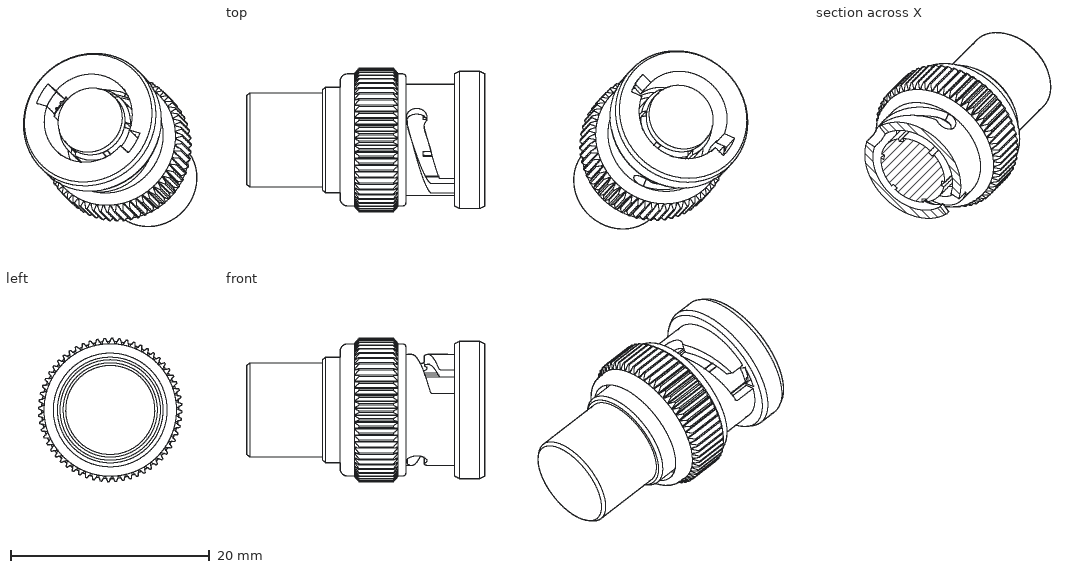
import cadquery as cq
import math

TOTAL_LENGTH = 24.0

PLUG_BODY_RADIUS = 4.75
COLLAR_START = 7.63
COLLAR_RADIUS = 5.33
PLUG_CHAMFER_LENGTH = 0.34
PLUG_CHAMFER_DEPTH = 0.26
TUBE_START = 15.26
TUBE_RADIUS = 3.72
TUBE_TAPER_START = 21.55
TUBE_TAPER_END = 22.27
TUBE_TIP_RADIUS = 3.35
TUBE_END = 23.28

GROOVE_COUNT = 6
GROOVE_START = 17.75
GROOVE_WIDTH = 0.53
GROOVE_DEPTH = 0.34
GROOVE_CORNER = 0.15
FIRST_GROOVE_ANGLE = 22.5

SLEEVE_START = 9.4
GRIP_RADIUS = 6.67
GRIP_END = 16.05
GRIP_REAR_FILLET = 0.77
GRIP_FRONT_FILLET = 0.34
NECK_RADIUS = 5.62
RIM_START = 20.93
RIM_RADIUS = 6.94
RIM_CHAMFER_LENGTH = 0.53
RIM_CHAMFER_DEPTH = 0.26
BORE_RADIUS = 4.6
RECESS_RADIUS = 5.74
RECESS_END = 11.05

KNURL_COUNT = 60
KNURL_START = 10.85
KNURL_END = 15.26
KNURL_DIAMETER = 14.47
KNURL_TIP_RADIUS = KNURL_DIAMETER / 2
KNURL_BEVEL = 0.48
KNURL_TIP_WIDTH = 0.17
KNURL_BASE_WIDTH = 0.62
KNURL_SINK = 0.12
KNURL_PHASE = 1.5

SLOT_COUNT = 2
CHANNEL_PITCH = 9.6
CHANNEL_WIDTH = 1.63
CHANNEL_REAR_AT_TOP = 16.6
CHANNEL_START_ANGLE = -20.0
CHANNEL_OVERRUN_ANGLE = 5.0
LOCK_ANGLE = -24.0
LOCK_X = 17.14
LOCK_RADIUS = 1.03
ENTRY_START_ANGLE = 44.0
ENTRY_END_ANGLE = 72.8
ENTRY_START = 18.95
ENTRY_FILLET = 0.22
RIM_KEYWAY_RADIUS = 5.75
RIM_KEYWAY_INSET_ANGLE = 3.0

LOCK_NECK_X = 17.8
LOCK_NECK_ANGLE = -15.7
LOCK_NECK_FILLET = 0.6

CUT_INNER_RADIUS = 4.2
CUT_OUTER_RADIUS = 6.0


def about_axis(shape, angle):
    """Turn a shape about X, from +Z towards -Y for positive angles."""
    return shape.rotate((0, 0, 0), (1, 0, 0), angle)


def revolve_about_x(profile):
    return profile.close().revolve(360, (0, 0, 0), (1, 0, 0))


def make_tube_groove():
    """Cutter for one groove at +Z, open at the end of the tube."""
    return (
        cq.Workplane("XY", origin=(GROOVE_START, 0, TUBE_RADIUS - GROOVE_DEPTH))
        .box(TUBE_END - GROOVE_START, GROOVE_WIDTH, 2 * GROOVE_DEPTH, centered=(False, True, False))
        .edges("|Z and <X")
        .fillet(GROOVE_CORNER)
    )


def make_plug():
    plug = revolve_about_x(
        cq.Workplane("XZ")
        .moveTo(0, 0)
        .lineTo(0, PLUG_BODY_RADIUS - PLUG_CHAMFER_DEPTH)
        .lineTo(PLUG_CHAMFER_LENGTH, PLUG_BODY_RADIUS)
        .lineTo(COLLAR_START, PLUG_BODY_RADIUS)
        .lineTo(COLLAR_START, COLLAR_RADIUS - PLUG_CHAMFER_DEPTH)
        .lineTo(COLLAR_START + PLUG_CHAMFER_LENGTH, COLLAR_RADIUS)
        .lineTo(RECESS_END, COLLAR_RADIUS)
        .lineTo(RECESS_END, BORE_RADIUS)
        .lineTo(TUBE_START, BORE_RADIUS)
        .lineTo(TUBE_START, TUBE_RADIUS)
        .lineTo(TUBE_TAPER_START, TUBE_RADIUS)
        .lineTo(TUBE_TAPER_END, TUBE_TIP_RADIUS)
        .lineTo(TUBE_END, TUBE_TIP_RADIUS)
        .lineTo(TUBE_END, 0)
    )
    groove = make_tube_groove()
    for i in range(GROOVE_COUNT):
        plug = plug.cut(about_axis(groove, FIRST_GROOVE_ANGLE + i * 360 / GROOVE_COUNT))
    return plug


def make_shell():
    """Turned shape of the sleeve, before knurling and slotting."""
    grip_length = GRIP_END - SLEEVE_START
    grip = cq.Workplane("YZ", origin=(SLEEVE_START, 0, 0)).circle(GRIP_RADIUS).extrude(grip_length)
    grip = grip.faces("<X").edges().fillet(GRIP_REAR_FILLET)
    grip = grip.faces(">X").edges().fillet(GRIP_FRONT_FILLET)
    neck_and_rim = revolve_about_x(
        cq.Workplane("XY")
        .moveTo(RECESS_END, 0)
        .lineTo(RECESS_END, NECK_RADIUS)
        .lineTo(RIM_START, NECK_RADIUS)
        .lineTo(RIM_START, RIM_RADIUS - RIM_CHAMFER_DEPTH)
        .lineTo(RIM_START + RIM_CHAMFER_LENGTH, RIM_RADIUS)
        .lineTo(TOTAL_LENGTH - RIM_CHAMFER_LENGTH, RIM_RADIUS)
        .lineTo(TOTAL_LENGTH, RIM_RADIUS - RIM_CHAMFER_DEPTH)
        .lineTo(TOTAL_LENGTH, 0)
    )
    bore = cq.Workplane("YZ").circle(BORE_RADIUS).extrude(TOTAL_LENGTH)
    recess = cq.Workplane("YZ").circle(RECESS_RADIUS).extrude(RECESS_END)
    return grip.union(neck_and_rim).cut(bore).cut(recess)


def make_knurl_band():
    """Ridges bevelled at both ends, on a ring that lies within the grip wall."""
    root_radius = GRIP_RADIUS - KNURL_SINK
    ridge = (
        cq.Workplane("YZ", origin=(KNURL_START, 0, 0))
        .moveTo(-KNURL_BASE_WIDTH / 2, root_radius)
        .lineTo(-KNURL_BASE_WIDTH / 2, GRIP_RADIUS)
        .lineTo(-KNURL_TIP_WIDTH / 2, KNURL_TIP_RADIUS)
        .lineTo(KNURL_TIP_WIDTH / 2, KNURL_TIP_RADIUS)
        .lineTo(KNURL_BASE_WIDTH / 2, GRIP_RADIUS)
        .lineTo(KNURL_BASE_WIDTH / 2, root_radius)
        .close()
        .extrude(KNURL_END - KNURL_START)
    )
    ring = (
        cq.Workplane("YZ", origin=(KNURL_START, 0, 0))
        .circle(GRIP_RADIUS)
        .circle(RECESS_RADIUS + KNURL_SINK)
        .extrude(KNURL_END - KNURL_START)
    )
    envelope = revolve_about_x(
        cq.Workplane("XZ")
        .moveTo(KNURL_START, 0)
        .lineTo(KNURL_START, GRIP_RADIUS)
        .lineTo(KNURL_START + KNURL_BEVEL, KNURL_TIP_RADIUS)
        .lineTo(KNURL_END - KNURL_BEVEL, KNURL_TIP_RADIUS)
        .lineTo(KNURL_END, GRIP_RADIUS)
        .lineTo(KNURL_END, 0)
    )
    ridge = ridge.intersect(envelope)
    pitch_angle = 360 / KNURL_COUNT
    ridges = [about_axis(ridge, KNURL_PHASE + i * pitch_angle).val() for i in range(KNURL_COUNT)]
    return cq.Workplane(ring.val().fuse(*ridges))


def make_sector(x_start, x_end, start_angle, end_angle, outer_radius):
    """Sector of a ring between two angles and two places on the axis."""
    profile = (
        cq.Workplane("XZ")
        .moveTo(x_start, CUT_INNER_RADIUS)
        .lineTo(x_start, outer_radius)
        .lineTo(x_end, outer_radius)
        .lineTo(x_end, CUT_INNER_RADIUS)
        .close()
    )
    sector = profile.revolve(end_angle - start_angle, (0, 0, 0), (1, 0, 0))
    return about_axis(sector, start_angle)


def channel_rear_x(angle):
    """Place along X of the rear wall of the helical channel at an angle."""
    return CHANNEL_REAR_AT_TOP + CHANNEL_PITCH * angle / 360


def make_helical_channel():
    """Channel that moves forward along X as it turns from the lock hole to the entry."""
    turns = (ENTRY_END_ANGLE + CHANNEL_OVERRUN_ANGLE - CHANNEL_START_ANGLE) / 360
    advance = CHANNEL_PITCH * turns
    path = cq.Wire.makeHelix(CHANNEL_PITCH, advance, CUT_INNER_RADIUS)
    channel = (
        cq.Workplane("XZ")
        .moveTo(CUT_INNER_RADIUS, 0)
        .lineTo(CUT_OUTER_RADIUS, 0)
        .lineTo(CUT_OUTER_RADIUS, CHANNEL_WIDTH)
        .lineTo(CUT_INNER_RADIUS, CHANNEL_WIDTH)
        .close()
        .sweep(cq.Workplane(path), isFrenet=True)
    )
    channel = channel.rotate((0, 0, 0), (1, 1, 1), 120)
    channel = about_axis(channel, 90)
    start_x = channel_rear_x(CHANNEL_START_ANGLE)
    channel = about_axis(channel.translate((start_x, 0, 0)), CHANNEL_START_ANGLE)
    overrun = cq.Workplane("XY").box(
        TOTAL_LENGTH, CUT_OUTER_RADIUS, 2 * CUT_OUTER_RADIUS, centered=(False, False, True)
    )
    overrun = about_axis(overrun.translate((0, -CUT_OUTER_RADIUS, 0)), ENTRY_END_ANGLE)
    return channel.cut(overrun)


def make_lock_hole():
    """Round hole whose side-to-side width shrinks towards the axis, keeping its walls radial."""
    inner_half_width = LOCK_RADIUS * CUT_INNER_RADIUS / NECK_RADIUS
    outer_half_width = LOCK_RADIUS * CUT_OUTER_RADIUS / NECK_RADIUS
    hole = (
        cq.Workplane("XY", origin=(LOCK_X, 0, CUT_INNER_RADIUS))
        .ellipse(LOCK_RADIUS, inner_half_width)
        .workplane(offset=CUT_OUTER_RADIUS - CUT_INNER_RADIUS)
        .ellipse(LOCK_RADIUS, outer_half_width)
        .loft(ruled=True)
    )
    return about_axis(hole, LOCK_ANGLE)


def make_slot():
    entry = make_sector(ENTRY_START, RIM_START, ENTRY_START_ANGLE, ENTRY_END_ANGLE, CUT_OUTER_RADIUS)
    return make_helical_channel().union(make_lock_hole()).union(entry)


def make_keyway():
    """Passage through the rim, slightly narrower than the entry in the neck."""
    return make_sector(
        RIM_START,
        TOTAL_LENGTH,
        ENTRY_START_ANGLE + RIM_KEYWAY_INSET_ANGLE,
        ENTRY_END_ANGLE - RIM_KEYWAY_INSET_ANGLE,
        RIM_KEYWAY_RADIUS,
    )


def round_slot_corner(sleeve, x, angle, radius):
    """Fillet the radial slot edge nearest to a place halfway through the neck wall."""
    middle_radius = (BORE_RADIUS + NECK_RADIUS) / 2
    turn = math.radians(angle)
    point = (x, -middle_radius * math.sin(turn), middle_radius * math.cos(turn))
    return sleeve.edges(cq.selectors.NearestToPointSelector(point)).fillet(radius)


def make_sleeve():
    sleeve = make_shell()
    slot = make_slot()
    keyway = make_keyway()
    entry_rear_x = channel_rear_x(ENTRY_END_ANGLE)
    entry_front_x = channel_rear_x(ENTRY_START_ANGLE) + CHANNEL_WIDTH
    for i in range(SLOT_COUNT):
        turn = i * 360 / SLOT_COUNT
        sleeve = sleeve.cut(about_axis(slot, turn))
        sleeve = round_slot_corner(sleeve, LOCK_NECK_X, LOCK_NECK_ANGLE + turn, LOCK_NECK_FILLET)
        sleeve = round_slot_corner(sleeve, entry_rear_x, ENTRY_END_ANGLE + turn, ENTRY_FILLET)
        sleeve = round_slot_corner(sleeve, entry_front_x, ENTRY_START_ANGLE + turn, ENTRY_FILLET)
        sleeve = sleeve.cut(about_axis(keyway, turn))
    return sleeve.union(make_knurl_band())


plug = make_plug()
sleeve = make_sleeve()
result = cq.Compound.makeCompound([*plug.solids().vals(), *sleeve.solids().vals()])